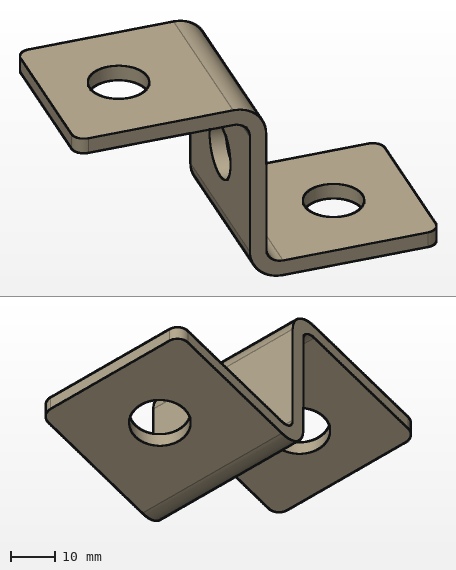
import cadquery as cq

width = 40.0
length = 88.0
height = 47.0

thickness = 4.0
inner_bend_radius = 4.05
outer_bend_radius = inner_bend_radius + thickness
corner_radius = 3.0

hole_diameter = 14.0
upper_hole_from_end = 17.5
lower_hole_from_end = 18.6

half_length = length / 2
half_height = height / 2
half_thickness = thickness / 2


def bent_sheet():
    """Z profile in the YZ plane: upper flange toward -Y, lower flange toward +Y."""
    profile = (
        cq.Workplane("YZ")
        .moveTo(-half_length, half_height)
        .lineTo(half_thickness, half_height)
        .lineTo(half_thickness, -half_height + thickness)
        .lineTo(half_length, -half_height + thickness)
        .lineTo(half_length, -half_height)
        .lineTo(-half_thickness, -half_height)
        .lineTo(-half_thickness, half_height - thickness)
        .lineTo(-half_length, half_height - thickness)
        .close()
    )
    return profile.extrude(width / 2, both=True)


def round_bends(sheet):
    """Round both bends with concentric inner and outer radii."""
    for side in (1, -1):
        outer_edge = (0, side * half_thickness, side * half_height)
        inner_edge = (0, -side * half_thickness, side * (half_height - thickness))
        sheet = sheet.edges(cq.NearestToPointSelector(outer_edge)).fillet(outer_bend_radius)
        sheet = sheet.edges(cq.NearestToPointSelector(inner_edge)).fillet(inner_bend_radius)
    return sheet


def flange_hole(y):
    """Vertical cutter through the flange at the given Y."""
    cutter = cq.Workplane("XY").center(0, y).circle(hole_diameter / 2)
    return cutter.extrude(height, both=True)


def web_hole():
    """Cutter through the middle of the upright web."""
    return cq.Workplane("XZ").circle(hole_diameter / 2).extrude(thickness, both=True)


result = round_bends(bent_sheet())
result = result.edges("|Z and (<Y or >Y)").fillet(corner_radius)
result = result.cut(flange_hole(-half_length + upper_hole_from_end))
result = result.cut(flange_hole(half_length - lower_hole_from_end))
result = result.cut(web_hole())